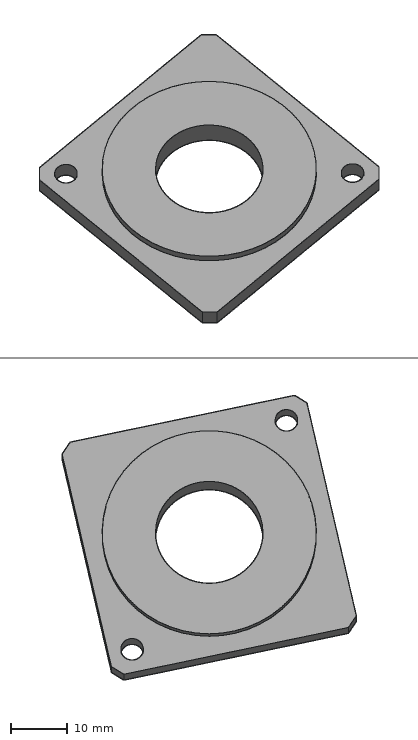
import cadquery as cq

plate_side = 44.45
total_height = 4.7
boss_height = 1.4
plate_thickness = total_height - boss_height
corner_chamfer = 1.85

boss_diameter = 37.95
bore_diameter = 19.02

mount_hole_diameter = 4.0
mount_hole_offset = 17.95

plate = (
    cq.Workplane("XY")
    .rect(plate_side, plate_side)
    .extrude(plate_thickness)
    .edges("|Z")
    .chamfer(corner_chamfer)
)

boss = cq.Workplane("XY").circle(boss_diameter / 2).extrude(total_height)

bore = cq.Workplane("XY").circle(bore_diameter / 2).extrude(total_height)

mount_holes = (
    cq.Workplane("XY")
    .pushPoints([(side * mount_hole_offset, side * mount_hole_offset) for side in (-1, 1)])
    .circle(mount_hole_diameter / 2)
    .extrude(total_height)
)

result = plate.union(boss).cut(bore).cut(mount_holes)